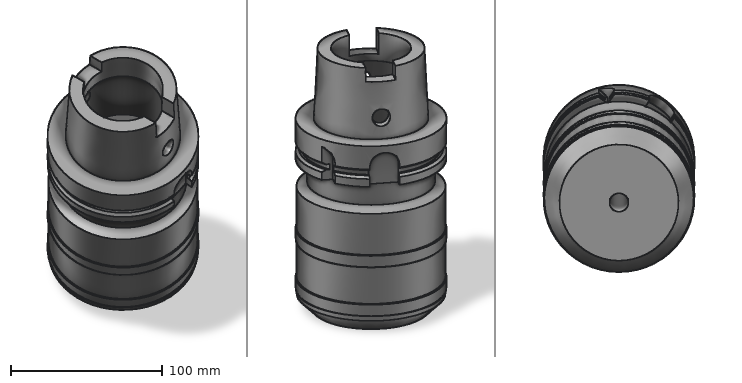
import cadquery as cq


shank_length = 50.0
shank_top_radius = 35.5
shank_base_radius = 38.0

flange_radius = 50.0
flange_thickness = 29.0
groove_radius = 46.0
groove_center_depth = 20.0
groove_floor_width = 3.75
groove_mouth_width = 6.9
groove_flank_inner_radius = 47.8

body_bottom = -135.0
neck_radius = 42.5
neck_bottom = -45.0
shoulder_bottom = -48.5
body_radius = 49.4
ring_radius = flange_radius
ring_chamfer = ring_radius - body_radius
upper_ring_top = -77.8
upper_ring_bottom = -86.9
lower_ring_top = -112.7
lower_ring_bottom = -121.5
end_chamfer = 10.0

bore_radius = 26.5
bore_entry_length = 20.0
undercut_radius = 31.5
bore_floor = -18.0
thread_radius = 12.0
thread_depth = 20.0
through_radius = 6.25

cross_hole_radius = 6.0
cross_hole_height = 15.0

drive_slot_width = 20.0
shallow_slot_depth = 9.8
deep_slot_depth = 15.0

keyway_width = 20.0
keyway_floor_distance = 44.0
keyway_arc_center = -15.0
notch_floor_distance = 31.3
notch_center_y = 41.5


def holder_body():
    """Turned outer shape, from the shank end down to the chamfered nose."""
    groove_center = -groove_center_depth
    half_floor = groove_floor_width / 2
    half_mouth = groove_mouth_width / 2
    profile = [
        (0, shank_length),
        (shank_top_radius, shank_length),
        (shank_base_radius, 0),
        (flange_radius, 0),
        (flange_radius, groove_center + half_mouth),
        (groove_flank_inner_radius, groove_center + half_floor),
        (groove_radius, groove_center + half_floor),
        (groove_radius, groove_center - half_floor),
        (groove_flank_inner_radius, groove_center - half_floor),
        (flange_radius, groove_center - half_mouth),
        (flange_radius, -flange_thickness),
        (neck_radius, -flange_thickness),
        (neck_radius, neck_bottom),
        (body_radius, shoulder_bottom),
        (body_radius, upper_ring_top),
        (ring_radius, upper_ring_top - ring_chamfer),
        (ring_radius, upper_ring_bottom + ring_chamfer),
        (body_radius, upper_ring_bottom),
        (body_radius, lower_ring_top),
        (ring_radius, lower_ring_top - ring_chamfer),
        (ring_radius, lower_ring_bottom),
        (body_radius, lower_ring_bottom),
        (body_radius, body_bottom + end_chamfer),
        (body_radius - end_chamfer, body_bottom),
        (0, body_bottom),
    ]
    return cq.Workplane("XZ").polyline(profile).close().revolve(360, (0, 0), (0, 1))


def axial_bore():
    """Turned cavity: entry bore, undercut, thread hole and through hole."""
    entry_bottom = shank_length - bore_entry_length
    profile = [
        (0, shank_length),
        (bore_radius, shank_length),
        (bore_radius, entry_bottom),
        (undercut_radius, entry_bottom),
        (undercut_radius, bore_floor),
        (thread_radius, bore_floor),
        (thread_radius, bore_floor - thread_depth),
        (through_radius, bore_floor - thread_depth),
        (through_radius, body_bottom),
        (0, body_bottom),
    ]
    return cq.Workplane("XZ").polyline(profile).close().revolve(360, (0, 0), (0, 1))


def cross_hole():
    """Radial hole along X through both shank walls."""
    return (
        cq.Workplane("YZ")
        .center(0, cross_hole_height)
        .circle(cross_hole_radius)
        .extrude(shank_base_radius, both=True)
    )


def drive_slot(side, depth):
    """Open slot in the shank end on the given X side (-1 or +1)."""
    return (
        cq.Workplane("XY")
        .box(shank_base_radius, drive_slot_width, depth)
        .translate((side * shank_base_radius / 2, 0, shank_length - depth / 2))
    )


def flange_slot(side, floor_distance, center_y):
    """Round-topped slot cut inward along X to a flat floor, open at the flange underside."""
    radius = keyway_width / 2
    return (
        cq.Workplane("YZ", origin=(side * floor_distance, center_y, 0))
        .moveTo(-radius, -flange_thickness)
        .lineTo(-radius, keyway_arc_center)
        .threePointArc((0, keyway_arc_center + radius), (radius, keyway_arc_center))
        .lineTo(radius, -flange_thickness)
        .close()
        .extrude(side * flange_radius)
    )


result = holder_body().cut(axial_bore()).cut(cross_hole())
for side, slot_depth in ((-1, shallow_slot_depth), (1, deep_slot_depth)):
    result = result.cut(drive_slot(side, slot_depth))
    result = result.cut(flange_slot(side, keyway_floor_distance, 0))
result = result.cut(flange_slot(-1, notch_floor_distance, notch_center_y))